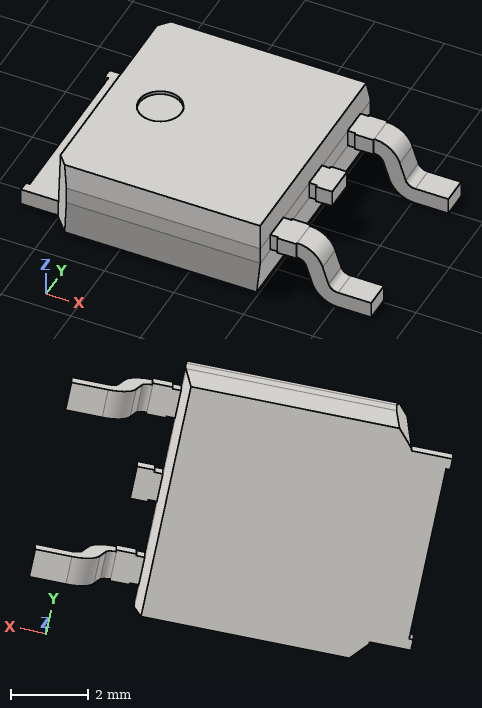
import cadquery as cq
import math


LENGTH = 10.1
SHEET = 0.49
EMBED = 0.5

BODY_HEIGHT = 2.3
BAND_TOP = 1.65
BAND_BOTTOM = BAND_TOP - SHEET
BODY_WIDTH = 6.6
SIDE_DRAFT = 0.12
TAB_FACE_BOTTOM = 1.09
TAB_FACE_TOP = 1.25
LEAD_FACE = 7.2
LEAD_FACE_TOP = 7.14
LEAD_FACE_BOTTOM = 7.04
CORNER_X = 0.54
CORNER_Y = 0.61

MARK_X = 2.74
MARK_DIAMETER = 1.21
MARK_DEPTH = 0.1

TAB_WIDTH = 5.29
TAB_NOTCH_WIDTH = 4.69
TAB_NOTCH_DEPTH = 0.11

LEAD_PITCH = 2.3
LEAD_WIDTH = 0.77
SHOULDER_START = 7.42
SHOULDER_END = 7.96
SHOULDER_WIDTH = 0.86
STUB_END = 7.9
STUB_WIDTH = 0.89
FOOT_BOTTOM = -0.1
BEND_RADIUS = 0.28
BEND_ANGLE = 72.0


def block(x_start, x_end, width, z_bottom, z_top):
    """Box centred on Y = 0."""
    return (
        cq.Workplane("XY", origin=((x_start + x_end) / 2, 0, z_bottom))
        .box(x_end - x_start, width, z_top - z_bottom, centered=(True, True, False))
    )


def make_body():
    half = BODY_WIDTH / 2
    half_drafted = half - SIDE_DRAFT
    side_profile = (
        cq.Workplane("XZ")
        .polyline([
            (TAB_FACE_BOTTOM, 0),
            (LEAD_FACE_BOTTOM, 0),
            (LEAD_FACE, BAND_BOTTOM),
            (LEAD_FACE, BAND_TOP),
            (LEAD_FACE_TOP, BODY_HEIGHT),
            (TAB_FACE_TOP, BODY_HEIGHT),
        ])
        .close()
        .extrude(half, both=True)
    )
    end_profile = (
        cq.Workplane("YZ")
        .polyline([
            (-half_drafted, 0),
            (half_drafted, 0),
            (half, BAND_BOTTOM),
            (half, BAND_TOP),
            (half_drafted, BODY_HEIGHT),
            (-half_drafted, BODY_HEIGHT),
            (-half, BAND_TOP),
            (-half, BAND_BOTTOM),
        ])
        .close()
        .extrude(LENGTH)
    )
    corner = (
        cq.Workplane("XY")
        .polyline([
            (TAB_FACE_BOTTOM, half),
            (TAB_FACE_BOTTOM, half - CORNER_Y),
            (TAB_FACE_BOTTOM + CORNER_X, half),
        ])
        .close()
        .extrude(BODY_HEIGHT)
    )
    mark = (
        cq.Workplane("XY", origin=(MARK_X, 0, BODY_HEIGHT - MARK_DEPTH))
        .circle(MARK_DIAMETER / 2)
        .extrude(MARK_DEPTH)
    )
    body = side_profile.intersect(end_profile)
    return body.cut(corner).cut(corner.mirror("XZ")).cut(mark)


def make_tab():
    tab = block(0, TAB_FACE_TOP + EMBED, TAB_WIDTH, 0, SHEET)
    return tab.cut(block(0, TAB_NOTCH_DEPTH, TAB_NOTCH_WIDTH, 0, SHEET))


def make_straight_lead(wide_end, wide_width):
    """Level stretch of a lead: a neck leaving the body, then a wider part."""
    neck = block(LEAD_FACE - EMBED, SHOULDER_START, LEAD_WIDTH, BAND_BOTTOM, BAND_TOP)
    return neck.union(block(SHOULDER_START, wide_end, wide_width, BAND_BOTTOM, BAND_TOP))


def make_bent_lead():
    """Outer lead: level stretch, S-shaped leg and flat foot."""
    outer_radius = BEND_RADIUS + SHEET
    angle = math.radians(BEND_ANGLE)
    foot_top = FOOT_BOTTOM + SHEET
    bend_sum = BEND_RADIUS + outer_radius
    bend_drop = bend_sum * (1 - math.cos(angle))
    slope_length = (BAND_TOP - foot_top - bend_drop) / math.sin(angle)
    foot_start = SHOULDER_END + bend_sum * math.sin(angle) + slope_length * math.cos(angle)
    upper_z = BAND_TOP - outer_radius
    lower_z = FOOT_BOTTOM + outer_radius

    def on_upper(radius, turn):
        return (SHOULDER_END + radius * math.sin(turn), upper_z + radius * math.cos(turn))

    def on_lower(radius, turn):
        return (foot_start - radius * math.sin(turn), lower_z - radius * math.cos(turn))

    leg = (
        cq.Workplane("XZ")
        .moveTo(SHOULDER_END, BAND_TOP)
        .threePointArc(on_upper(outer_radius, angle / 2), on_upper(outer_radius, angle))
        .lineTo(*on_lower(BEND_RADIUS, angle))
        .threePointArc(on_lower(BEND_RADIUS, angle / 2), (foot_start, foot_top))
        .lineTo(LENGTH, foot_top)
        .lineTo(LENGTH, FOOT_BOTTOM)
        .lineTo(foot_start, FOOT_BOTTOM)
        .threePointArc(on_lower(outer_radius, angle / 2), on_lower(outer_radius, angle))
        .lineTo(*on_upper(BEND_RADIUS, angle))
        .threePointArc(on_upper(BEND_RADIUS, angle / 2), (SHOULDER_END, BAND_BOTTOM))
        .close()
        .extrude(LEAD_WIDTH / 2, both=True)
    )
    return make_straight_lead(SHOULDER_END, SHOULDER_WIDTH).union(leg)


result = make_body().union(make_tab()).union(make_straight_lead(STUB_END, STUB_WIDTH))
for lead_y in (-LEAD_PITCH, LEAD_PITCH):
    result = result.union(make_bent_lead().translate((0, lead_y, 0)))